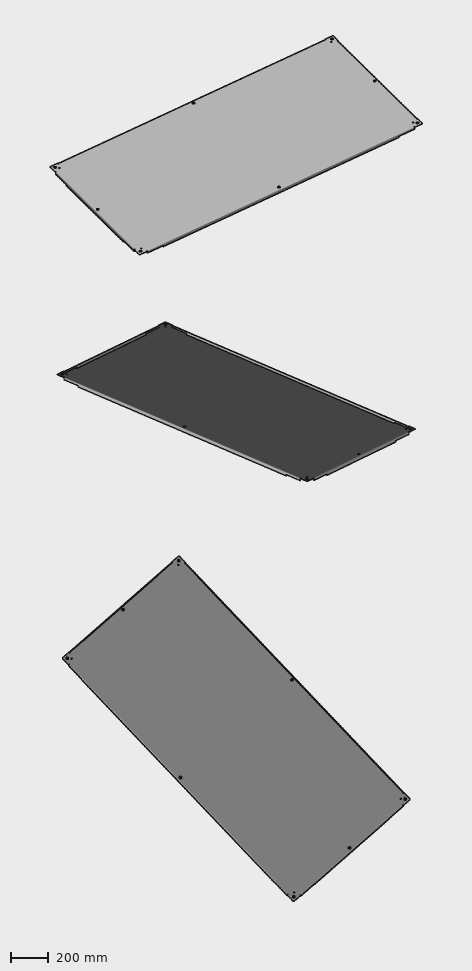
import cadquery as cq
import math

WIDTH = 842.0
LENGTH = 1827.0
HEIGHT = 22.0

THICKNESS = 2.0
BEND_RADIUS = 6.0
CORNER_RADIUS = 5.0

CORNER_TAB = 51.0
DEEP_INSET = 153.0
SHALLOW_DEPTH = 15.0

MOUNT_INSET = 20.0
MOUNT_DIAMETER = 7.0
SINK_DIAMETER = 15.0
PILOT_INSET = 37.0
PILOT_DIAMETER = 5.0


def make_sheet():
    """Flat top sheet, notched along each side where the flange bends begin."""
    sheet = (
        cq.Workplane("XY")
        .box(WIDTH, LENGTH, THICKNESS, centered=(True, True, False))
        .translate((0, 0, HEIGHT - THICKNESS))
        .edges("|Z")
        .fillet(CORNER_RADIUS)
    )
    notches = (
        cq.Workplane("XY")
        .pushPoints([(-WIDTH / 2, 0), (WIDTH / 2, 0)])
        .rect(2 * BEND_RADIUS, LENGTH - 2 * CORNER_TAB)
        .pushPoints([(0, -LENGTH / 2), (0, LENGTH / 2)])
        .rect(WIDTH - 2 * CORNER_TAB, 2 * BEND_RADIUS)
        .extrude(HEIGHT)
    )
    return sheet.cut(notches)


def make_flange(edge_length, edge_offset):
    """Bent flange for the +X edge; its lower edge steps down towards the middle."""
    inner_radius = BEND_RADIUS - THICKNESS
    bend_x = edge_offset - BEND_RADIUS
    bend_z = HEIGHT - BEND_RADIUS
    diagonal = math.sqrt(0.5)
    flange_length = edge_length - 2 * CORNER_TAB

    flange = (
        cq.Workplane("XZ")
        .moveTo(bend_x, HEIGHT)
        .threePointArc(
            (bend_x + BEND_RADIUS * diagonal, bend_z + BEND_RADIUS * diagonal),
            (edge_offset, bend_z),
        )
        .lineTo(edge_offset, 0)
        .lineTo(edge_offset - THICKNESS, 0)
        .lineTo(edge_offset - THICKNESS, bend_z)
        .threePointArc(
            (bend_x + inner_radius * diagonal, bend_z + inner_radius * diagonal),
            (bend_x, HEIGHT - THICKNESS),
        )
        .close()
        .extrude(flange_length / 2, both=True)
    )

    step_length = DEEP_INSET - CORNER_TAB
    step_center = edge_length / 2 - CORNER_TAB - step_length / 2
    steps = (
        cq.Workplane("XY")
        .pushPoints([(edge_offset, -step_center), (edge_offset, step_center)])
        .rect(2 * BEND_RADIUS, step_length)
        .extrude(HEIGHT - SHALLOW_DEPTH)
    )
    return flange.cut(steps)


def corner_points(inset):
    """Four points at the same inset from both edges of each corner."""
    x = WIDTH / 2 - inset
    y = LENGTH / 2 - inset
    return [(-x, -y), (x, -y), (-x, y), (x, y)]


def drill_holes(panel):
    """Countersunk holes at corners and edge middles, plain pilot holes at corners."""
    mid_x = WIDTH / 2 - MOUNT_INSET
    mid_y = LENGTH / 2 - MOUNT_INSET
    edge_middles = [(-mid_x, 0), (mid_x, 0), (0, -mid_y), (0, mid_y)]
    top = cq.Workplane("XY").workplane(offset=HEIGHT)
    mounts = top.pushPoints(corner_points(MOUNT_INSET) + edge_middles)
    pilots = top.pushPoints(corner_points(PILOT_INSET)).circle(PILOT_DIAMETER / 2).extrude(-HEIGHT)
    sink = cq.Solid.makeCone(MOUNT_DIAMETER / 2, SINK_DIAMETER / 2, THICKNESS).moved(
        cq.Location(cq.Vector(0, 0, -THICKNESS))
    )
    sinks = mounts.eachpoint(lambda place: sink.moved(place), combine=False)
    return panel.cut(sinks).cut(pilots)


result = make_sheet()
for edge_length, edge_offset, angles in (
    (LENGTH, WIDTH / 2, (0, 180)),
    (WIDTH, LENGTH / 2, (90, 270)),
):
    flange = make_flange(edge_length, edge_offset)
    for angle in angles:
        result = result.union(flange.rotate((0, 0, 0), (0, 0, 1), angle))
result = drill_holes(result)